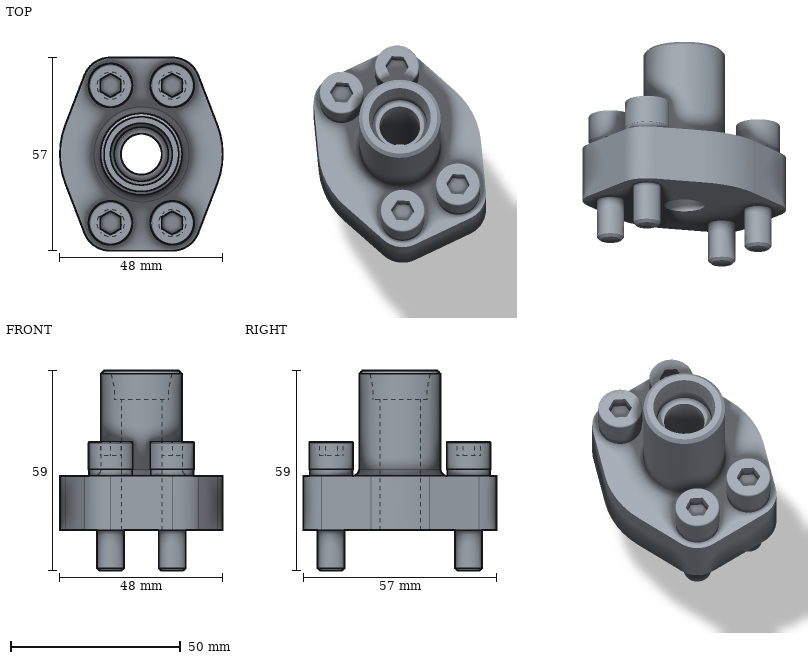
import cadquery as cq
import math

plate_width = 48.0
plate_length = 57.0
plate_bottom = 12.0
plate_thickness = 16.0
plate_top = plate_bottom + plate_thickness
side_radius = plate_width / 2

screw_x = 9.1
screw_y = 20.25
corner_radius = plate_length / 2 - screw_y

total_height = 59
tube_diameter = 24.0
tube_chamfer = 1.0
root_fillet = 2.0
bore_diameter = 12.0
socket_diameter = 16.0
socket_depth = 8.5
cone_diameter = 18.25
cone_half_angle = 12

shank_diameter = 8.0
tip_chamfer = 0.8
collar_diameter = 12.7
collar_height = 2.0
head_diameter = 13
head_height = 8.0
head_fillet = 0.4
hex_across_flats = 6.0
hex_depth = 4.0


def point_on_circle(center, radius, angle):
    """Point at an angle (radians) on a circle in the XY plane."""
    return (center[0] + radius * math.cos(angle), center[1] + radius * math.sin(angle))


def make_plate():
    """Plate outline: two wide side arcs joined to four corner arcs by tangent lines."""
    corner = (screw_x, screw_y)
    corner_distance = math.hypot(screw_x, screw_y)
    normal = math.atan2(screw_y, screw_x) - math.acos((side_radius - corner_radius) / corner_distance)

    side_end = point_on_circle((0, 0), side_radius, normal)
    corner_start = point_on_circle(corner, corner_radius, normal)
    corner_middle = point_on_circle(corner, corner_radius, (normal + math.pi / 2) / 2)

    quarter = (
        cq.Workplane("XY", origin=(0, 0, plate_bottom))
        .moveTo(side_radius, 0)
        .threePointArc(point_on_circle((0, 0), side_radius, normal / 2), side_end)
        .lineTo(*corner_start)
        .threePointArc(corner_middle, (screw_x, plate_length / 2))
        .lineTo(0, plate_length / 2)
    )
    return quarter.mirrorY().mirrorX().extrude(plate_thickness)


def make_tube():
    """Tube stub with a chamfered rim and a concave fillet at its root."""
    radius = tube_diameter / 2
    diagonal = root_fillet * (1 - math.sqrt(0.5))
    return (
        cq.Workplane("XZ")
        .moveTo(0, plate_bottom)
        .lineTo(radius + root_fillet, plate_bottom)
        .lineTo(radius + root_fillet, plate_top)
        .threePointArc((radius + diagonal, plate_top + diagonal), (radius, plate_top + root_fillet))
        .lineTo(radius, total_height - tube_chamfer)
        .lineTo(radius - tube_chamfer, total_height)
        .lineTo(0, total_height)
        .close()
        .revolve(360, (0, 0), (0, 1))
    )


def make_bore():
    """Through bore opening into a flat-bottomed socket with a conical mouth."""
    cone_depth = (cone_diameter - socket_diameter) / 2 / math.tan(math.radians(cone_half_angle))
    return (
        cq.Workplane("XZ")
        .moveTo(0, plate_bottom)
        .lineTo(bore_diameter / 2, plate_bottom)
        .lineTo(bore_diameter / 2, total_height - socket_depth)
        .lineTo(socket_diameter / 2, total_height - socket_depth)
        .lineTo(socket_diameter / 2, total_height - cone_depth)
        .lineTo(cone_diameter / 2, total_height)
        .lineTo(0, total_height)
        .close()
        .revolve(360, (0, 0), (0, 1))
    )


def make_screw():
    """Screw on the Z axis with its tip at the origin, running up through the plate."""
    shank = (
        cq.Workplane("XY")
        .circle(shank_diameter / 2)
        .extrude(plate_top)
        .faces("<Z")
        .chamfer(tip_chamfer)
    )
    collar = (
        cq.Workplane("XY", origin=(0, 0, plate_top))
        .circle(collar_diameter / 2)
        .extrude(collar_height)
    )
    head_bottom = plate_top + collar_height
    head_top = head_bottom + head_height
    head = (
        cq.Workplane("XY", origin=(0, 0, head_bottom))
        .circle(head_diameter / 2)
        .extrude(head_height)
        .faces(">Z")
        .edges()
        .fillet(head_fillet)
    )
    hex_socket = (
        cq.Workplane("XY", origin=(0, 0, head_top))
        .polygon(6, hex_across_flats, circumscribed=True)
        .extrude(-hex_depth)
    )
    return shank.union(collar).union(head).cut(hex_socket)


result = make_plate().union(make_tube()).cut(make_bore())

screw = make_screw()
for x_side in (-1, 1):
    for y_side in (-1, 1):
        result = result.union(screw.translate((x_side * screw_x, y_side * screw_y, 0)))